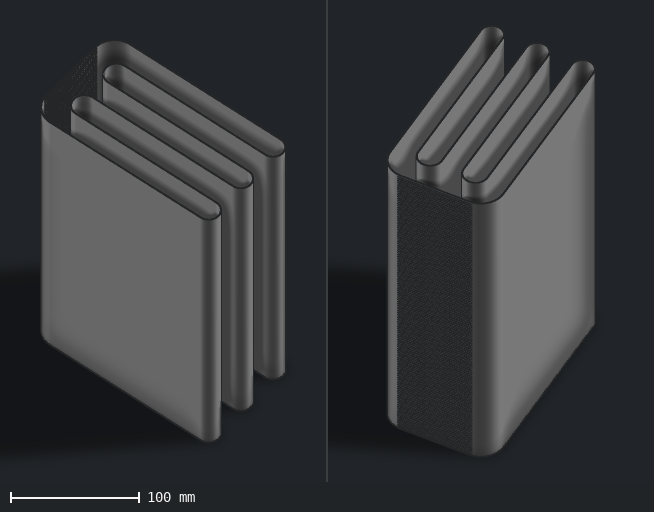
import cadquery as cq

height = 280.0
length = 180.0
width = 100.0
wall = 0.8
finger_count = 3
groove_radius = 0.2
groove_count = 139

lane = width / (2 * finger_count - 1)
end_radius = lane / 2
root_depth = lane
corner_radius = lane
groove_pitch = height / (groove_count + 1)

back_x = -length / 2
tip_x = length / 2
corner_x = back_x + corner_radius
tip_center_x = tip_x - end_radius
root_x = back_x + root_depth
root_center_x = root_x + end_radius
side_y = width / 2
corner_y = side_y - corner_radius
corner_inset = corner_radius * (1 - 0.5 ** 0.5)


def comb_outline():
    """Outer outline: a back with round corners and three round-ended fingers."""
    outline = cq.Workplane("XY").moveTo(corner_x, -side_y)
    for index in range(finger_count):
        lower_y = -side_y + 2 * index * lane
        upper_y = lower_y + lane
        outline = outline.lineTo(tip_center_x, lower_y)
        outline = outline.threePointArc((tip_x, lower_y + end_radius), (tip_center_x, upper_y))
        if index < finger_count - 1:
            outline = outline.lineTo(root_center_x, upper_y)
            outline = outline.threePointArc(
                (root_x, upper_y + end_radius), (root_center_x, upper_y + lane)
            )
    outline = outline.lineTo(corner_x, side_y)
    outline = outline.threePointArc(
        (back_x + corner_inset, side_y - corner_inset), (back_x, corner_y)
    )
    outline = outline.lineTo(back_x, -corner_y)
    outline = outline.threePointArc(
        (back_x + corner_inset, -side_y + corner_inset), (corner_x, -side_y)
    )
    return outline.close()


def folded_shell():
    """Thin wall following the outline, open at the top and bottom."""
    outside = comb_outline().extrude(height / 2, both=True)
    inside = comb_outline().offset2D(-wall).extrude(height / 2, both=True)
    return outside.cut(inside)


def back_grooves():
    """Evenly spaced rods along Y, centred on the plane of the back face."""
    centers = [
        (back_x, (index - (groove_count - 1) / 2) * groove_pitch) for index in range(groove_count)
    ]
    rods = cq.Workplane("XZ").pushPoints(centers).circle(groove_radius)
    return rods.extrude(side_y, both=True)


result = folded_shell().cut(back_grooves())